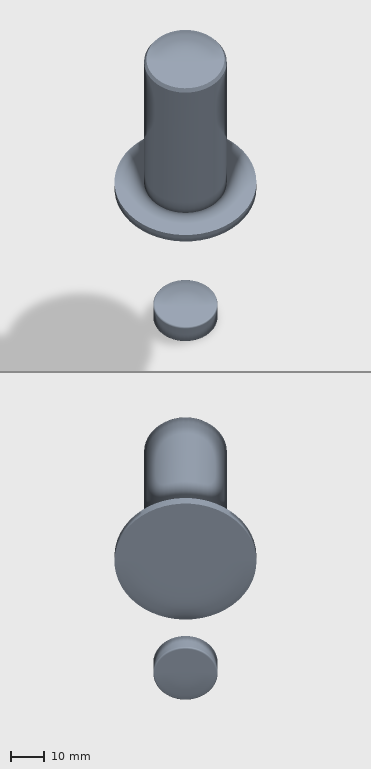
import cadquery as cq

total_height = 118.0

flange_diameter = 43.0
flange_thickness = 3.0
shank_diameter = 25.0
pin_length = 59.0
shank_chamfer_height = 1.2
shank_chamfer_inset = 0.7

disc_diameter = 19.5
disc_thickness = 6.5
disc_fillet = 0.5


def make_cylinder(diameter, length, bottom):
    """Upright cylinder on the Z axis, standing on the height `bottom`."""
    return cq.Workplane("XY", origin=(0, 0, bottom)).circle(diameter / 2).extrude(length)


def make_top_bevel_cutter():
    """Ring with a triangular section that bevels the top rim of the shank."""
    shank_radius = shank_diameter / 2
    return (
        cq.Workplane("XZ")
        .moveTo(shank_radius - shank_chamfer_inset, total_height)
        .lineTo(shank_radius, total_height)
        .lineTo(shank_radius, total_height - shank_chamfer_height)
        .close()
        .revolve(360, (0, 0), (0, 1))
    )


def make_pin():
    """Round shank with a steep bevel at its top, standing on a flat flange."""
    flange_bottom = total_height - pin_length
    flange = make_cylinder(flange_diameter, flange_thickness, flange_bottom)
    shank = make_cylinder(shank_diameter, pin_length, flange_bottom)
    return flange.union(shank.cut(make_top_bevel_cutter()))


def make_disc():
    """Plain disc with both rims rounded, with its lower face at Z = 0."""
    disc = make_cylinder(disc_diameter, disc_thickness, 0)
    return disc.faces("<Z or >Z").edges().fillet(disc_fillet)


pin = make_pin()
disc = make_disc()

result = cq.Compound.makeCompound([*pin.solids().vals(), *disc.solids().vals()])